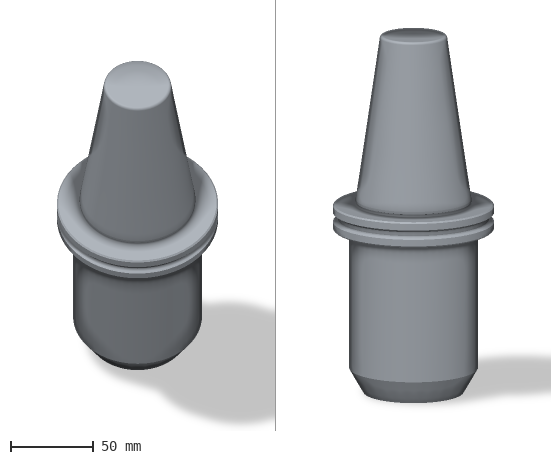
import cadquery as cq
import math

total_length = 221.5
gauge_z = 119.9
flange_top_z = 116.5
flange_width = 15.7
flange_bottom_z = flange_top_z - flange_width

gauge_radius = 35.0
taper_slope = 7 / 48
shank_tip_round = 1.8
shank_tip_radius = gauge_radius - (total_length - gauge_z) * taper_slope

collar_height = 1.5
relief_depth = 0.7
relief_fillet = 1.0
relief_step_height = 0.2

flange_radius = 48.8
flange_chamfer = 0.9
groove_floor_radius = 45.9
groove_floor_width = 2.5
groove_wall_angle = 30
groove_center_z = flange_top_z - flange_width / 2

body_radius = 39.0
neck_fillet = 2.9
nose_radius = 30.4
nose_angle = 30
nose_height = (body_radius - nose_radius) / math.tan(math.radians(nose_angle))


def make_body():
    """Cylinder with a conical nose, flared by a fillet into the flange."""
    fillet_start_z = flange_bottom_z - neck_fillet
    arc_offset = neck_fillet * (1 - math.sqrt(0.5))
    return (
        cq.Workplane("XZ")
        .lineTo(nose_radius, 0)
        .lineTo(body_radius, nose_height)
        .lineTo(body_radius, fillet_start_z)
        .threePointArc(
            (body_radius + arc_offset, flange_bottom_z - arc_offset),
            (body_radius + neck_fillet, flange_bottom_z),
        )
        .lineTo(0, flange_bottom_z)
        .close()
        .revolve(360, (0, 0, 0), (0, 1, 0))
    )


def make_flange():
    """Chamfered disc with the gripper groove around its rim."""
    disc = (
        cq.Workplane("XY", origin=(0, 0, flange_bottom_z))
        .circle(flange_radius)
        .extrude(flange_width)
        .edges()
        .chamfer(flange_chamfer)
    )
    half_floor = groove_floor_width / 2
    wall_rise = (flange_radius - groove_floor_radius) * math.tan(math.radians(groove_wall_angle))
    half_mouth = half_floor + wall_rise
    groove = (
        cq.Workplane("XZ")
        .moveTo(groove_floor_radius, groove_center_z - half_floor)
        .lineTo(flange_radius, groove_center_z - half_mouth)
        .lineTo(flange_radius, groove_center_z + half_mouth)
        .lineTo(groove_floor_radius, groove_center_z + half_floor)
        .close()
        .revolve(360, (0, 0, 0), (0, 1, 0))
    )
    return disc.cut(groove)


def make_shank():
    """Steep taper on a short collar, with a filleted relief and a rounded tip."""
    collar_bottom_z = gauge_z - collar_height
    relief_radius = gauge_radius - relief_depth
    arc_offset = relief_fillet * (1 - math.sqrt(0.5))
    shank = (
        cq.Workplane("XZ")
        .moveTo(0, flange_top_z)
        .lineTo(relief_radius + relief_fillet, flange_top_z)
        .threePointArc(
            (relief_radius + arc_offset, flange_top_z + arc_offset),
            (relief_radius, flange_top_z + relief_fillet),
        )
        .lineTo(relief_radius, collar_bottom_z - relief_step_height)
        .lineTo(gauge_radius, collar_bottom_z)
        .lineTo(gauge_radius, gauge_z)
        .lineTo(shank_tip_radius, total_length)
        .lineTo(0, total_length)
        .close()
        .revolve(360, (0, 0, 0), (0, 1, 0))
    )
    return shank.faces(">Z").edges().fillet(shank_tip_round)


result = make_body().union(make_flange()).union(make_shank())